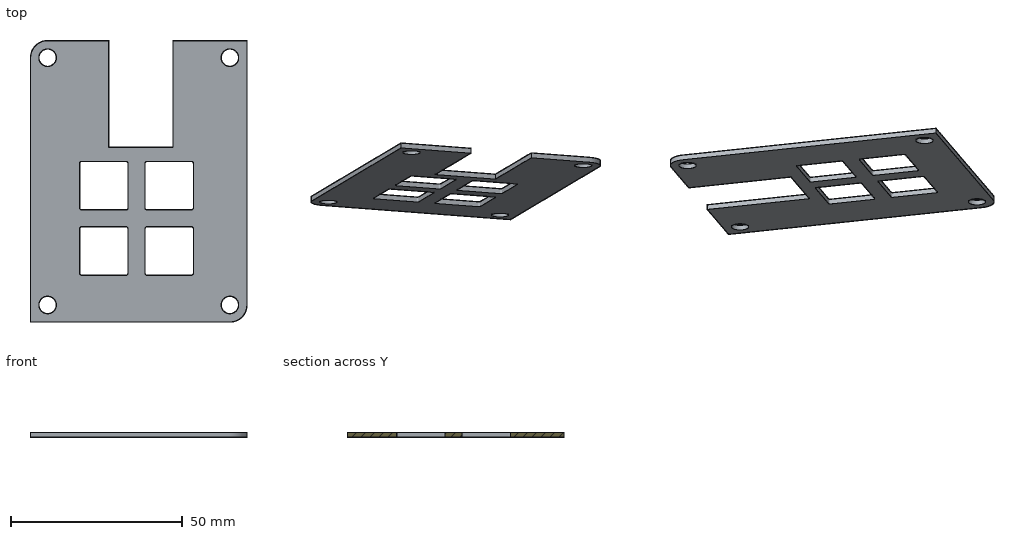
import cadquery as cq

plate_width = 63.0
plate_length = 81.9
plate_thickness = 1.5
corner_radius = 5.0

hole_diameter = 5.0
hole_edge_distance = 5.0

notch_left_offset = 22.8
notch_width = 18.6
notch_depth = 31.0

windows_per_side = 2
window_size = 14.0
window_pitch = 19.0
window_corner_radius = 0.5
window_grid_left_offset = 14.35
window_grid_bottom_offset = 13.7

left_edge = -plate_width / 2
bottom_edge = -plate_length / 2
top_edge = plate_length / 2


def make_plate():
    """Plate with two diagonally opposite rounded corners."""
    plate = cq.Workplane("XY").box(
        plate_width, plate_length, plate_thickness, centered=(True, True, False)
    )
    plate = plate.edges("|Z").edges("<X").edges(">Y").fillet(corner_radius)
    return plate.edges("|Z").edges(">X").edges("<Y").fillet(corner_radius)


def make_mounting_holes():
    """Four through cylinders, equally inset from the plate edges."""
    return (
        cq.Workplane("XY")
        .rect(
            plate_width - 2 * hole_edge_distance,
            plate_length - 2 * hole_edge_distance,
            forConstruction=True,
        )
        .vertices()
        .circle(hole_diameter / 2)
        .extrude(plate_thickness)
    )


def make_notch():
    """Rectangular cutter that opens through the +Y edge."""
    return (
        cq.Workplane("XY")
        .box(notch_width, notch_depth, plate_thickness, centered=False)
        .translate((left_edge + notch_left_offset, top_edge - notch_depth, 0))
    )


def make_key_windows():
    """Four square cutters with slightly rounded corners."""
    grid_span = (windows_per_side - 1) * window_pitch + window_size
    grid_center_x = left_edge + window_grid_left_offset + grid_span / 2
    grid_center_y = bottom_edge + window_grid_bottom_offset + grid_span / 2
    return (
        cq.Workplane("XY")
        .center(grid_center_x, grid_center_y)
        .rarray(window_pitch, window_pitch, windows_per_side, windows_per_side)
        .rect(window_size, window_size)
        .extrude(plate_thickness)
        .edges("|Z")
        .fillet(window_corner_radius)
    )


result = make_plate().cut(make_mounting_holes()).cut(make_notch()).cut(make_key_windows())